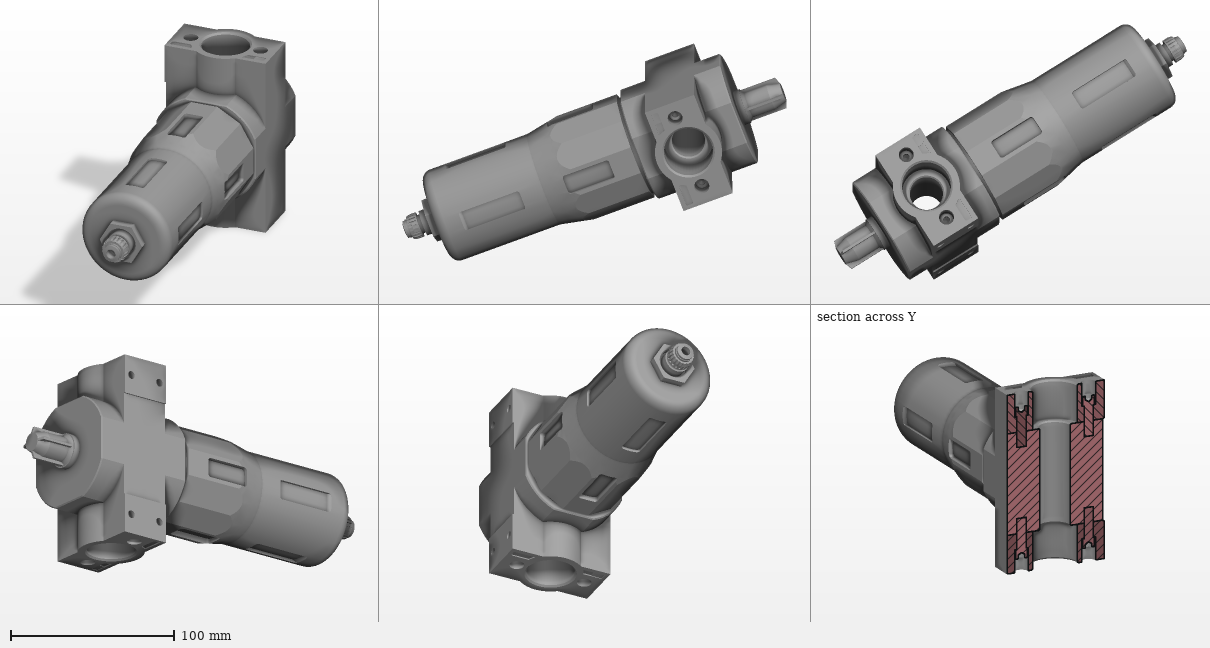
import cadquery as cq
import math


HOUSING_HALF = 33.0
HOUSING_TOP = 33.3
HOUSING_BOTTOM = -32.5
FLAT_HALF = 13.7
HOUSING_ROUND_R = math.hypot(HOUSING_HALF, FLAT_HALF)
END_CHAMFER = 0.7
PASSAGE_D = 20.4
PASSAGE_MOUTH_D = 22.0

PLATE_SPAN = 116.0
PLATE_LENGTH = 67
PLATE_OFFSET = -0.5
PLATE_HALF_WIDTH = 16.1
PLATE_OUTER = PLATE_SPAN / 2
PLATE_SIDE_X = PLATE_OFFSET - PLATE_LENGTH / 2
BOSS_R = 20.5
PORT_D = 30.0
PORT_MOUTH_D = 32.3
SIDE_HOLE_D = 5
SIDE_HOLE_DEPTH = 5
SIDE_HOLE_Y = 11.0
SIDE_HOLE_INSET = 12.5

LABEL_OUTER_X = 31.0
LABEL_INNER_X = 16.6
LABEL_SLANT = 2.2
LABEL_CORNER_R = 1.2
LABEL_BOTTOM_Y = -13.2
LABEL_HEIGHT = 4.5
LABEL_DEPTH = 0.7
LABEL_STEP_X = 24.0
LABEL_STEP_DEPTH = 0.37

SCREW_X = 23.0
SCREW_HOLE_D = 9.2
SCREW_RECESS = 8.7
HEAD_D = 8.5
HEAD_TOP_D = 7.2
HEAD_HEIGHT = 6.2
SHANK_D = 6.0
SHANK_LENGTH = 19.9
SOCKET_D = 4.2
SOCKET_DEPTH = 2.5
TIP_SLOPE = 0.6
SCREW_HEAD_Z = PLATE_OUTER - SCREW_RECESS
SCREW_SEAT_Z = SCREW_HEAD_Z - HEAD_HEIGHT

NECK_R = 62 / 2
GRIP_SIDES = 12
GRIP_FLAT = 32.5
GRIP_TOP = -34.8
CONE_END = -94.8
CUP_R = 29.5
CUP_END = -165.0
CUP_FILLET = 6.2
CONE_SLOPE = 0.2
WINDOW_COUNT = 4
WINDOW_WIDTH = 12.5
WINDOW_CORNER_R = 1.7
GRIP_WINDOW = (-80.7, -50.5)
GRIP_WINDOW_FLOOR_R = 29.5
CUP_WINDOW = (-148.7, -109.0)
CUP_WINDOW_FLOOR_R = 27.8
CUP_WINDOW_RAMP = 2.0
HEX_SIDES = 6
HEX_FLATS = 24.3
HEX_END = -170.0
DRAIN_RECESS_D = 18.0
DRAIN_RECESS_MOUTH_D = 19.9
DRAIN_SEAT = -167.5

DRAIN_R = 16.0 / 2
DRAIN_NECK_R = 12.0 / 2
COLLAR_END = -174.0
KNURL_START = -176.2
KNURL_FULL_END = -180.2
KNURL_END = -182.7
KNURL_END_R = 7.2
NOZZLE_LARGE_R = 11.7 / 2
NOZZLE_STEP = -184.2
NOZZLE_R = 11.0 / 2
NOZZLE_CONE = -185.7
NOZZLE_TIP_R = 7.0 / 2
NOZZLE_END = -186.2
NOZZLE_HOLE_D = 6.0
NOZZLE_HOLE_DEPTH = 7.5
KNURL_RIM = 0.7
KNURL_TEETH = 20
KNURL_SLIT = 1.0
KNURL_DEPTH = 1.0

COLLAR_R = 11.0
COLLAR_TOP = 37.2
FIN_R = 10.2
FIN_THICKNESS = 1.5
FIN_OUTER_TOP = 60.5
CORE_R = 8.2
FLARE_TOP = 39.5
TIP_START = 54.0
TIP_R = 6.0
KNOB_TOP = 62


def box_between(x, y, z):
    """Box given by its (low, high) limits along X, Y and Z."""
    size = [high - low for low, high in (x, y, z)]
    return cq.Workplane("XY").box(*size, centered=False).translate((x[0], y[0], z[0]))


def turned(points):
    """Solid turned about Y from (radius, Y) points; the outline closes on itself."""
    return cq.Workplane("XY").polyline(points).close().revolve(360, (0, 0), (0, 1))


def cylinder_y(radius, low, high):
    return cq.Workplane("XZ", origin=(0, high, 0)).circle(radius).extrude(high - low)


def cylinder_z(diameter, low, high, x=0):
    return cq.Workplane("XY", origin=(x, 0, low)).circle(diameter / 2).extrude(high - low)


def countersink_z(mouth_d, hole_d, face_z):
    """45 degree cone cutter, widest at face_z and narrowing downward to the hole diameter."""
    depth = (mouth_d - hole_d) / 2
    return cq.Workplane("XY", origin=(0, 0, face_z)).circle(mouth_d / 2).extrude(-depth, taper=45)


def drill(diameter, depth):
    """Pointed drill along -Z, with its mouth at the origin."""
    radius = diameter / 2
    tip = -depth - TIP_SLOPE * radius
    outline = [(0, 0), (radius, 0), (radius, -depth), (0, tip)]
    return cq.Workplane("XZ").polyline(outline).close().revolve(360, (0, 0), (0, 1))


def below(solid):
    """The same solid mirrored to the -Z side."""
    return solid.mirror("XY")


def make_housing():
    span = (-HOUSING_HALF, HOUSING_HALF)
    rounded = (
        cylinder_y(HOUSING_ROUND_R, HOUSING_BOTTOM, HOUSING_TOP)
        .intersect(box_between(span, (HOUSING_BOTTOM, HOUSING_TOP), span))
        .faces("<Y or >Y").chamfer(END_CHAMFER)
    )
    middle = box_between(span, (-PLATE_HALF_WIDTH, PLATE_HALF_WIDTH), span)
    body = rounded.union(middle)
    body = body.cut(cylinder_z(PASSAGE_D, -HOUSING_HALF, HOUSING_HALF))
    mouth = countersink_z(PASSAGE_MOUTH_D, PASSAGE_D, HOUSING_HALF)
    body = body.cut(mouth).cut(below(mouth))
    for x in (-SCREW_X, SCREW_X):
        hole = cylinder_z(SHANK_D, SCREW_SEAT_Z - SHANK_LENGTH, HOUSING_HALF, x)
        body = body.cut(hole).cut(below(hole))
    return body


def label_recess(side):
    """Recess with one slanted end toward the port; side is -1 or +1 along X."""
    top_y = LABEL_BOTTOM_Y + LABEL_HEIGHT
    outline = [
        (side * LABEL_INNER_X, LABEL_BOTTOM_Y),
        (side * LABEL_OUTER_X, LABEL_BOTTOM_Y),
        (side * LABEL_OUTER_X, top_y),
        (side * (LABEL_INNER_X + LABEL_SLANT), top_y),
    ]
    plane = cq.Workplane("XY", origin=(0, 0, PLATE_OUTER))
    recess = plane.polyline(outline).close().extrude(-LABEL_DEPTH)
    outer_end = ">X" if side > 0 else "<X"
    recess = recess.faces(outer_end).edges(">Y").fillet(LABEL_CORNER_R)
    if side > 0:
        step = box_between(
            (LABEL_STEP_X, LABEL_OUTER_X),
            (LABEL_BOTTOM_Y, top_y),
            (PLATE_OUTER - LABEL_DEPTH, PLATE_OUTER - LABEL_STEP_DEPTH),
        )
        recess = recess.cut(step)
    return recess.translate((PLATE_OFFSET, 0, 0))


def make_port_plate():
    """Upper plate; the lower one is its mirror image."""
    plate = box_between(
        (PLATE_SIDE_X, PLATE_SIDE_X + PLATE_LENGTH),
        (-PLATE_HALF_WIDTH, PLATE_HALF_WIDTH),
        (HOUSING_HALF, PLATE_OUTER),
    )
    plate = plate.union(cylinder_z(2 * BOSS_R, HOUSING_HALF, PLATE_OUTER))
    plate = plate.cut(cylinder_z(PORT_D, HOUSING_HALF, PLATE_OUTER))
    plate = plate.cut(countersink_z(PORT_MOUTH_D, PORT_D, PLATE_OUTER))
    for side in (-1, 1):
        x = side * SCREW_X
        plate = plate.cut(cylinder_z(SCREW_HOLE_D, SCREW_SEAT_Z, PLATE_OUTER, x))
        plate = plate.cut(cylinder_z(SHANK_D, HOUSING_HALF, SCREW_SEAT_Z, x))
        plate = plate.cut(label_recess(side))
    side_drill = drill(SIDE_HOLE_D, SIDE_HOLE_DEPTH).rotate((0, 0, 0), (0, 1, 0), -90)
    for y in (-SIDE_HOLE_Y, SIDE_HOLE_Y):
        plate = plate.cut(side_drill.translate((PLATE_SIDE_X, y, PLATE_OUTER - SIDE_HOLE_INSET)))
    return plate


def make_screw():
    """Upper screw on the Z axis."""
    head = cylinder_z(HEAD_D, SCREW_SEAT_Z, SCREW_HEAD_Z)
    head = head.faces(">Z").chamfer((HEAD_D - HEAD_TOP_D) / 2)
    screw = head.union(cylinder_z(SHANK_D, SCREW_SEAT_Z - SHANK_LENGTH, SCREW_SEAT_Z))
    return screw.cut(drill(SOCKET_D, SOCKET_DEPTH).translate((0, 0, SCREW_HEAD_Z)))


def window_outline(y_range):
    """Upright prism with rounded corners, as wide as a bowl window."""
    prism = box_between((-WINDOW_WIDTH / 2, WINDOW_WIDTH / 2), y_range, (0, HOUSING_ROUND_R))
    return prism.edges("|Z").fillet(WINDOW_CORNER_R)


def make_bowl():
    grip_corner_r = GRIP_FLAT / math.cos(math.pi / GRIP_SIDES)
    grip_profile_r = CUP_R + CONE_SLOPE * (GRIP_TOP - CONE_END)
    envelope = turned([
        (0, GRIP_TOP), (grip_profile_r, GRIP_TOP), (CUP_R, CONE_END), (CUP_R, CUP_END), (0, CUP_END),
    ]).faces("<Y").edges().fillet(CUP_FILLET)
    grip = (
        cq.Workplane("XZ", origin=(0, GRIP_TOP, 0))
        .polygon(GRIP_SIDES, 2 * grip_corner_r).extrude(GRIP_TOP - CUP_END)
        .rotate((0, 0, 0), (0, 1, 0), 180 / GRIP_SIDES)
    )
    bowl = envelope.intersect(grip)
    bowl = bowl.union(cylinder_y(NECK_R, GRIP_TOP, HOUSING_BOTTOM))

    grip_window = window_outline(GRIP_WINDOW).cut(cylinder_y(GRIP_WINDOW_FLOOR_R, *GRIP_WINDOW))
    low, high = CUP_WINDOW
    cup_window_floor = turned([
        (0, low), (CUP_R, low), (CUP_WINDOW_FLOOR_R, low + CUP_WINDOW_RAMP),
        (CUP_WINDOW_FLOOR_R, high), (0, high),
    ])
    cup_window = window_outline(CUP_WINDOW).cut(cup_window_floor)
    for number in range(WINDOW_COUNT):
        angle = number * 360 / WINDOW_COUNT
        for window in (grip_window, cup_window):
            bowl = bowl.cut(window.rotate((0, 0, 0), (0, 1, 0), angle))

    hexagon = (
        cq.Workplane("XZ", origin=(0, CUP_END, 0))
        .polygon(HEX_SIDES, HEX_FLATS / math.cos(math.pi / HEX_SIDES)).extrude(CUP_END - HEX_END)
    )
    recess_r = DRAIN_RECESS_D / 2
    mouth_r = DRAIN_RECESS_MOUTH_D / 2
    recess = turned([
        (0, DRAIN_SEAT), (recess_r, DRAIN_SEAT), (recess_r, HEX_END + mouth_r - recess_r),
        (mouth_r, HEX_END), (0, HEX_END),
    ])
    return bowl.union(hexagon).cut(recess)


def make_drain_screw():
    screw = turned([
        (0, DRAIN_SEAT),
        (DRAIN_R, DRAIN_SEAT),
        (DRAIN_R, COLLAR_END),
        (DRAIN_NECK_R, COLLAR_END),
        (DRAIN_NECK_R, KNURL_START),
        (DRAIN_R, KNURL_START),
        (DRAIN_R, KNURL_FULL_END),
        (KNURL_END_R, KNURL_END),
        (NOZZLE_LARGE_R, KNURL_END),
        (NOZZLE_LARGE_R, NOZZLE_STEP),
        (NOZZLE_R, NOZZLE_STEP),
        (NOZZLE_R, NOZZLE_CONE),
        (NOZZLE_TIP_R, NOZZLE_END),
        (0, NOZZLE_END),
    ])
    screw = screw.cut(cylinder_y(NOZZLE_HOLE_D / 2, NOZZLE_END, NOZZLE_END + NOZZLE_HOLE_DEPTH))
    slit_half = KNURL_SLIT / 2
    root_r = DRAIN_R - KNURL_DEPTH
    slit = box_between(
        (root_r, DRAIN_R + slit_half),
        (KNURL_END, KNURL_START - KNURL_RIM),
        (-slit_half, slit_half),
    )
    for number in range(KNURL_TEETH):
        screw = screw.cut(slit.rotate((0, 0, 0), (0, 1, 0), number * 360 / KNURL_TEETH))
    return screw


def make_knob():
    core = turned([
        (0, HOUSING_TOP), (COLLAR_R, HOUSING_TOP), (COLLAR_R, COLLAR_TOP), (FIN_R, COLLAR_TOP),
        (CORE_R, FLARE_TOP), (CORE_R, TIP_START), (TIP_R, KNOB_TOP), (0, KNOB_TOP),
    ])
    fin_outline = [
        (-FIN_R, COLLAR_TOP), (FIN_R, COLLAR_TOP), (FIN_R, FIN_OUTER_TOP),
        (TIP_R, KNOB_TOP), (-TIP_R, KNOB_TOP), (-FIN_R, FIN_OUTER_TOP),
    ]
    fin_pair = cq.Workplane("XY").polyline(fin_outline).close().extrude(FIN_THICKNESS / 2, both=True)
    return core.union(fin_pair).union(fin_pair.rotate((0, 0, 0), (0, 1, 0), 90))


housing = make_housing()
upper_plate = make_port_plate()
lower_plate = below(upper_plate)
screw = make_screw()
screws = []
for screw_x in (-SCREW_X, SCREW_X):
    upper_screw = screw.translate((screw_x, 0, 0))
    screws += [upper_screw, below(upper_screw)]
bowl = make_bowl()
drain_screw = make_drain_screw()
knob = make_knob()

bodies = [housing, upper_plate, lower_plate, *screws, bowl, drain_screw, knob]
result = cq.Compound.makeCompound([body.solids().val() for body in bodies])